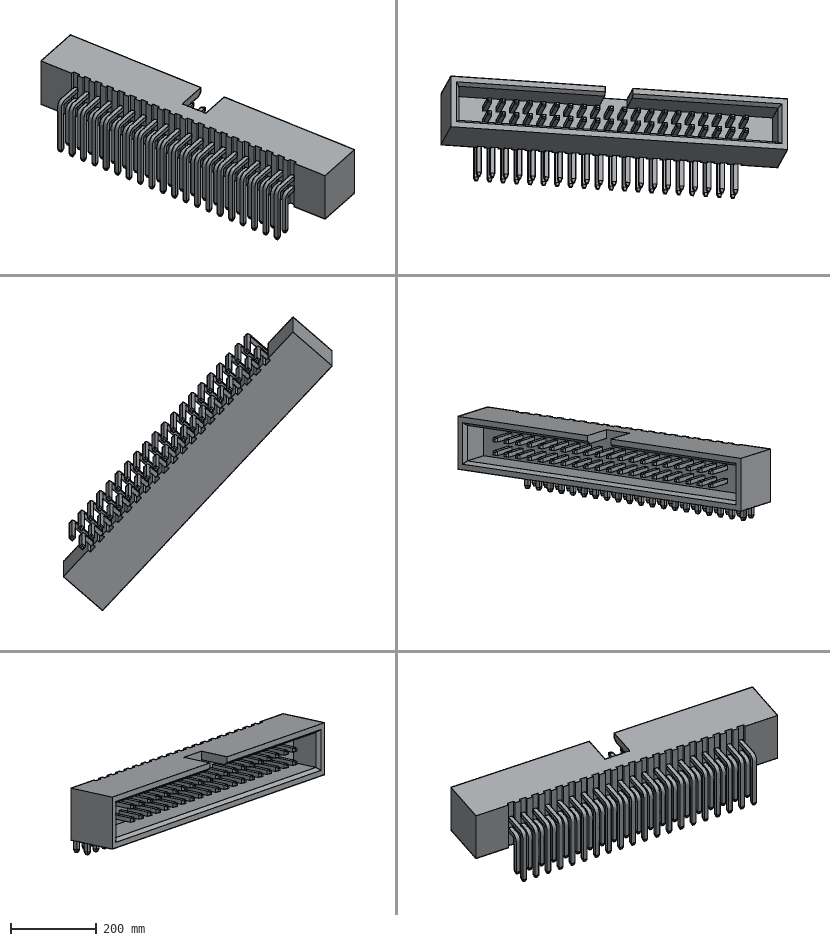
import cadquery as cq
import math


body_length = 803.0
body_depth = 124.0
body_height = 127.0

wall = 21.0
cavity_depth = 77.0
bevel_depth = 10.0
bevel_inset = 7.0

notch_width = 66.0

columns = 20
pin_span = 612.0
pitch = pin_span / (columns - 1)
pin_size = 10.5
bend_outer_radius = 15.0
bend_inner_radius = bend_outer_radius - pin_size
tip_length = 7.0
tip_inset = 2.5
pin_drop = 61.0
outer_reach = 63.5
upper_pin_z = body_height / 2 + pitch / 2
lower_pin_z = upper_pin_z - pitch
outer_leg_y = pin_size / 2 - outer_reach
inner_leg_y = outer_leg_y + pitch
contact_end_y = body_depth - bevel_depth

groove_width = 17.0
groove_depth = 6.8

column_positions = [(i - (columns - 1) / 2) * pitch for i in range(columns)]


def make_housing():
    return cq.Workplane("XY").box(body_length, body_depth, body_height, centered=(True, False, False))


def make_cavity():
    """Rectangular pocket with a bevelled lead-in around its mouth."""
    opening_length = body_length - 2 * wall
    opening_height = body_height - 2 * wall
    pocket = (
        cq.Workplane("XY")
        .box(opening_length, cavity_depth, opening_height, centered=(True, False, False))
        .translate((0, body_depth - cavity_depth, wall))
    )
    bevel_angle = math.degrees(math.atan2(bevel_inset, bevel_depth))
    lead_in = (
        cq.Workplane("XZ", origin=(0, body_depth, body_height / 2))
        .rect(opening_length + 2 * bevel_inset, opening_height + 2 * bevel_inset)
        .extrude(bevel_depth, taper=bevel_angle)
    )
    return pocket.union(lead_in)


def make_notch():
    """Slot through the top wall, as deep as the cavity."""
    return (
        cq.Workplane("XY")
        .box(notch_width, cavity_depth, body_height / 2, centered=(True, False, False))
        .translate((0, body_depth - cavity_depth, body_height / 2))
    )


def make_grooves():
    """Full-height grooves in the rear face."""
    return (
        cq.Workplane("XY")
        .pushPoints([(x, groove_depth / 2) for x in column_positions])
        .rect(groove_width, groove_depth)
        .extrude(body_height)
    )


def make_tip(plane):
    """Tapered pin end that grows along the plane normal."""
    tip_angle = math.degrees(math.atan2(tip_inset, tip_length))
    return cq.Workplane(plane).rect(pin_size, pin_size).extrude(tip_length, taper=tip_angle)


def make_pin(contact_z, leg_y):
    """One square bent pin centred on X = 0."""
    half = pin_size / 2
    front_y = contact_end_y - tip_length
    bottom_z = tip_length - pin_drop
    bend_y = leg_y - half + bend_outer_radius
    bend_z = contact_z + half - bend_outer_radius
    diagonal = math.sqrt(0.5)
    shank = (
        cq.Workplane("YZ", origin=(-half, 0, 0))
        .moveTo(front_y, contact_z + half)
        .lineTo(bend_y, contact_z + half)
        .threePointArc(
            (bend_y - bend_outer_radius * diagonal, bend_z + bend_outer_radius * diagonal),
            (leg_y - half, bend_z),
        )
        .lineTo(leg_y - half, bottom_z)
        .lineTo(leg_y + half, bottom_z)
        .lineTo(leg_y + half, bend_z)
        .threePointArc(
            (bend_y - bend_inner_radius * diagonal, bend_z + bend_inner_radius * diagonal),
            (bend_y, contact_z - half),
        )
        .lineTo(front_y, contact_z - half)
        .close()
        .extrude(pin_size)
    )
    contact_tip = make_tip(cq.Plane(origin=(0, front_y, contact_z), xDir=(1, 0, 0), normal=(0, 1, 0)))
    leg_tip = make_tip(cq.Plane(origin=(0, leg_y, bottom_z), xDir=(1, 0, 0), normal=(0, 0, -1)))
    return shank.union(contact_tip).union(leg_tip)


housing = make_housing().cut(make_cavity()).cut(make_notch()).cut(make_grooves())

upper_pin = make_pin(upper_pin_z, outer_leg_y)
lower_pin = make_pin(lower_pin_z, inner_leg_y)
pins = [pin.translate((x, 0, 0)).val() for x in column_positions for pin in (upper_pin, lower_pin)]

connector = housing.val().fuse(*pins)
result = cq.Workplane(connector.Solids()[0])